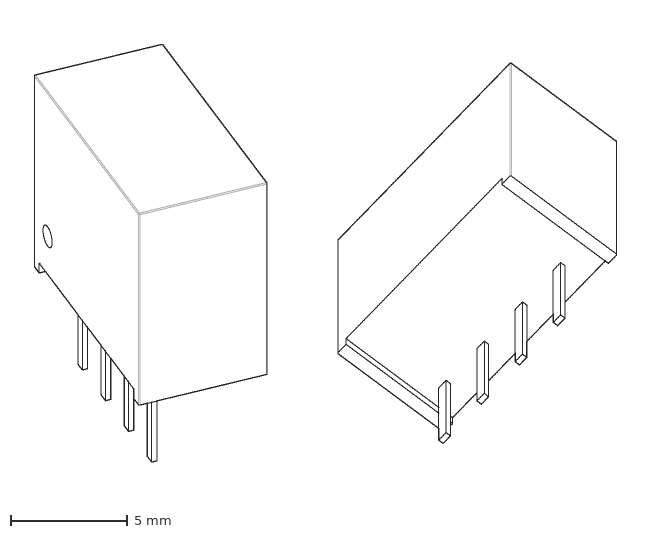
import cadquery as cq

total_height = 14.1
housing_length = 11.5
housing_width = 6.02
housing_height = 10.0
edge_radius = 0.05
foot_length = 0.58
foot_height = 0.51

pin_count = 4
pin_pitch = 2.54
pin_width = 0.5
pin_thickness = 0.25
pin_row_x = 0.4
pin_row_from_front = 1.28

marker_diameter = 1.0
marker_depth = 0.1
marker_x = -4.26
marker_z = 6.6

foot_bottom = total_height - housing_height
underside = foot_bottom + foot_height
front_y = -housing_width / 2
pin_y = front_y + pin_row_from_front


def make_marker():
    """Thin disc whose outer face lies in the front face of the housing."""
    front_plane = cq.Workplane("XZ", origin=(marker_x, front_y, marker_z))
    return front_plane.circle(marker_diameter / 2).extrude(-marker_depth)


def make_housing(marker):
    """Rounded block standing on a foot at each end, with a recess for the marker."""
    block = cq.Workplane("XY").box(
        housing_length, housing_width, housing_height, centered=(True, True, False)
    )
    block = block.edges("|Z or >Z").fillet(edge_radius)
    gap_between_feet = cq.Workplane("XY").box(
        housing_length - 2 * foot_length, housing_width, foot_height, centered=(True, True, False)
    )
    return block.cut(gap_between_feet).translate((0, 0, foot_bottom)).cut(marker)


def make_pin(x):
    """Flat pin from its tip up to the underside of the housing."""
    pin = cq.Workplane("XY").box(pin_width, pin_thickness, underside, centered=(True, True, False))
    return pin.translate((x, pin_y, 0))


marker = make_marker()
housing = make_housing(marker)

first_pin_x = pin_row_x - (pin_count - 1) * pin_pitch / 2
pins = [make_pin(first_pin_x + i * pin_pitch) for i in range(pin_count)]

result = cq.Compound.makeCompound([housing.val(), marker.val(), *[pin.val() for pin in pins]])